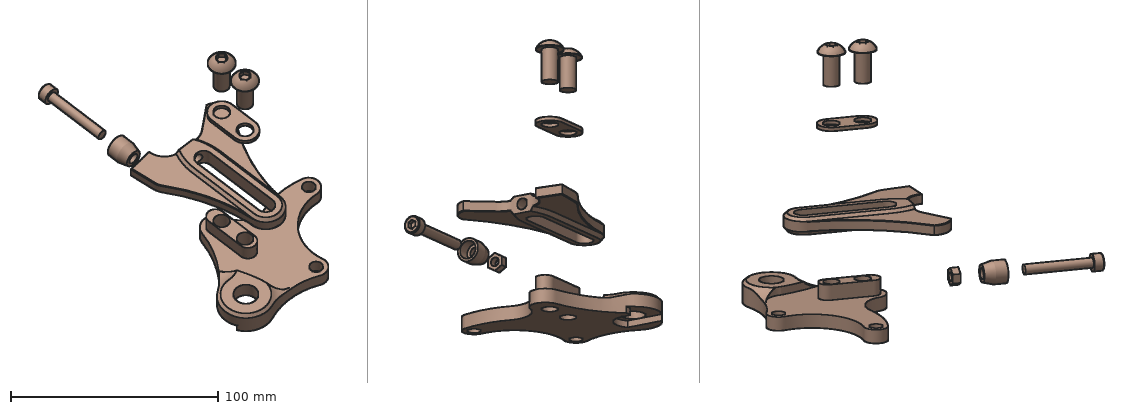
import cadquery as cq
import math

SCREW_PITCH = 16.0
SCREW_XS = (0, SCREW_PITCH)
CLAMP_SHANK_D = 8.0

BASE_T = 7.0
POST_TOP = 14.9
POST_LEFT_X = -4.2
POST_RIGHT_X = 17.8
POST_R = 4.5
BOSS = (39.0, -22.4)
BOSS_R = 14.0
BORE_D = 12.0
END_ROUND = (-4.0, 0)
END_ROUND_R = 7.7
UPPER_TAB = (9.5, 49.9)
SIDE_TAB = (48.0, 16.5)
TAB_R = 6.0
TAB_HOLE_D = 6.6
FLANK = (49.2, 39.4)
LOWER_EDGE_R = 56.0
RIGHT_EDGE_R = 38.5
DISC_EDGE_R = 25.5
HOOK_R = 14.0

PAD_TOP = 11.2
PAD_R = 12.2
PAD_RISE = PAD_TOP - BASE_T
PAD_EDGE_ANGLE = math.pi / 4
PAD_FILLET = PAD_RISE / (1 - math.cos(PAD_EDGE_ANGLE))
PAD_RUN = PAD_FILLET * math.sin(PAD_EDGE_ANGLE)
PAD_STRAIGHT = 1.2
PAD_HOLLOW_R = 13.5
CLEARANCE_START = (15.8, -19.2)
CLEARANCE_MIDDLE = (28.0, -13.6)
CLEARANCE_END = (39.5, -10.3)
NOSE_CLEARANCE_X = 37.8
NOSE_CLEARANCE_R = 10.7

RECESS_DEPTH = 3.3
RECESS_R = 9.6
RECESS_RIGHT_X = 45.3
SHELF_Y = -27.5
SHELF_CORNER_R = 1.0

DROPOUT_Z = 44.5
DROPOUT_T = 5.2
DROPOUT_CHAMFER = 0.4
RAIL_Z = 42.4
RAIL_T = 9.0
RAIL_BEVEL_W = 1.8
NOSE = (30.1, 0)
NOSE_R = 9.6
SIDE_ARC_R = 96.2
SIDE_ARC_ANGLE = math.radians(5)
SIDE_ARC_END_X = -14.5
LOWER_ARM_TIP = (-33.0, -28.9)
LOWER_ARM_HEEL = (-19.0, -27.3)
UPPER_ARM_SHOULDER = (-25.2, 34.1)
UPPER_ARM_TIP = (-33.6, 31.0)
UPPER_ARM_CORNER = (-36.4, 25.9)
NOTCH_MOUTH = (-26.6, 13.0)
NOTCH_SIDE_TOP_Y = 4.5
AXLE_X = -34.8
AXLE_Y = -4.2
AXLE_R = 10.5
RAIL_TAPER_X = -10.7
RAIL_TAPER_R = 33.2
RAIL_TAPER_END_X = -28.0
SLOT_LEFT_X = -12.2
SLOT_R = 4.5
ADJUSTER_HOLE_D = 5.6

WASHER_Z = 93.1
WASHER_T = 2.0
WASHER_R = 7.0
WASHER_HOLE_D = 8.2

CLAMP_HEAD_Z = 130.9
CLAMP_TOP_Z = 135.0
CLAMP_HEAD_D = 13.6
CLAMP_RIM_H = 0.4
CLAMP_CROWN_D = 5.6
CLAMP_SHANK_L = 16.3
CLAMP_HEX_FLATS = 5.0
CLAMP_HEX_DEPTH = 2.5
CLAMP_TURNS = (12, 0)

ADJUSTER_Z = 11.4
ADJUSTER_X = -121.1
ADJUSTER_HEAD_D = 8.8
ADJUSTER_HEAD_L = 5.0
ADJUSTER_HEAD_CHAMFER = 0.5
ADJUSTER_D = 5.0
ADJUSTER_SHANK_L = 34.8
ADJUSTER_TIP_L = 1.2
ADJUSTER_TIP_CHAMFER = 0.4
ADJUSTER_HEX_FLATS = 4.0
ADJUSTER_HEX_DEPTH = 2.5
CAP_X = -72.0
CAP_D = 11.7
CAP_STRAIGHT_L = 6.3
CAP_L = 11.7
CAP_TIP_D = 9.0
CAP_BORE_D = 9.0
CAP_HOLE_D = 5.5
NUT_X = -48.3
NUT_T = 4.0
NUT_FLATS = 7.9
NUT_HOLE_D = 4.4


def toward(start, target, distance):
    """Point at the given distance from start in the direction of target."""
    span = math.dist(start, target)
    return tuple(s + (t - s) * distance / span for s, t in zip(start, target))


def touching_centre(first, first_gap, second, second_gap):
    """Point at the given gaps from two points, on the right when looking from first to second."""
    span = math.dist(first, second)
    along = (span**2 + first_gap**2 - second_gap**2) / (2 * span)
    aside = math.sqrt(first_gap**2 - along**2)
    ux, uy = (second[0] - first[0]) / span, (second[1] - first[1]) / span
    return (first[0] + along * ux + aside * uy, first[1] + along * uy - aside * ux)


def bulge_point(centre, start, end):
    """Middle of the shorter arc about centre from start to end."""
    chord_middle = ((start[0] + end[0]) / 2, (start[1] + end[1]) / 2)
    return toward(centre, chord_middle, math.dist(centre, start))


def base_outline():
    """Closed chain of tangent arcs, counterclockwise from the left end round."""
    lower = touching_centre(END_ROUND, END_ROUND_R + LOWER_EDGE_R, BOSS, BOSS_R + LOWER_EDGE_R)
    right = touching_centre(BOSS, BOSS_R + RIGHT_EDGE_R, SIDE_TAB, TAB_R + RIGHT_EDGE_R)
    disc = touching_centre(SIDE_TAB, TAB_R + DISC_EDGE_R, UPPER_TAB, TAB_R + DISC_EDGE_R)
    flank_r = math.dist(FLANK, UPPER_TAB) + TAB_R
    hook = touching_centre(FLANK, flank_r + HOOK_R, END_ROUND, END_ROUND_R + HOOK_R)

    start = toward(END_ROUND, lower, END_ROUND_R)
    arcs = [
        (lower, toward(BOSS, lower, BOSS_R)),
        (BOSS, toward(BOSS, right, BOSS_R)),
        (right, toward(SIDE_TAB, right, TAB_R)),
        (SIDE_TAB, toward(SIDE_TAB, disc, TAB_R)),
        (disc, toward(UPPER_TAB, disc, TAB_R)),
        (UPPER_TAB, toward(FLANK, UPPER_TAB, flank_r)),
        (FLANK, toward(FLANK, hook, flank_r)),
        (hook, toward(END_ROUND, hook, END_ROUND_R)),
        (END_ROUND, start),
    ]
    outline = cq.Workplane("XY").moveTo(*start)
    for centre, end in arcs:
        outline = outline.threePointArc(bulge_point(centre, start, end), end)
        start = end
    return outline.close()


def pad_slope(edge, direction):
    """Hollow arc that leaves the pad's top edge at 45 degrees and runs out flush with the plate."""
    half_angle = PAD_EDGE_ANGLE / 2
    middle_run = PAD_RUN - PAD_FILLET * math.sin(half_angle)
    middle_z = BASE_T + PAD_FILLET * (1 - math.cos(half_angle))
    middle = (edge + direction * middle_run, middle_z)
    end = (edge + direction * PAD_RUN, BASE_T)
    return cq.Workplane("XZ").moveTo(edge, PAD_TOP).threePointArc(middle, end)


def base_pad():
    """Raised pad: round about the boss, with a hollow flank on its left, cut back for the slider."""
    boss_x, boss_y = BOSS
    round_part = pad_slope(PAD_R, 1).lineTo(0, BASE_T).lineTo(0, PAD_TOP).close().revolve()
    straight_part = (
        pad_slope(-PAD_R, -1).lineTo(0, BASE_T).lineTo(0, PAD_TOP).close().extrude(-PAD_STRAIGHT)
    )
    hollow = pad_slope(PAD_HOLLOW_R, -1).lineTo(0, BASE_T).lineTo(0, PAD_TOP).close().revolve()
    flank_width = PAD_HOLLOW_R + PAD_R
    flank = (
        cq.Workplane("XY", origin=(-flank_width, 0, BASE_T))
        .rect(flank_width, PAD_HOLLOW_R, centered=False)
        .extrude(PAD_RISE)
        .cut(hollow.translate((-flank_width, 0, 0)))
        .translate((0, PAD_STRAIGHT, 0))
    )
    slider_clearance = (
        cq.Workplane("XY", origin=(0, 0, BASE_T))
        .moveTo(*CLEARANCE_START)
        .threePointArc(CLEARANCE_MIDDLE, CLEARANCE_END)
        .lineTo(NOSE_CLEARANCE_X, 0)
        .lineTo(0, 0)
        .close()
        .extrude(PAD_RISE)
        .union(
            cq.Workplane("XY", origin=(NOSE_CLEARANCE_X, 0, BASE_T))
            .circle(NOSE_CLEARANCE_R)
            .extrude(PAD_RISE)
        )
    )
    pad = round_part.union(straight_part).union(flank).translate((boss_x, boss_y, 0))
    return pad.intersect(base_outline().extrude(PAD_TOP)).cut(slider_clearance)


def boss_recess():
    """Shallow recess round the bore, open toward -Y, with a shelf cut to its left."""
    boss_x, boss_y = BOSS
    outer_x = boss_x - BOSS_R
    outer_y = boss_y - BOSS_R
    left_x = boss_x - RECESS_R
    corner_x = left_x - SHELF_CORNER_R
    corner_y = SHELF_Y + SHELF_CORNER_R
    shelf_end = (corner_x, SHELF_Y)
    corner_end = (left_x, corner_y)
    arc_rise = math.sqrt(RECESS_R**2 - (RECESS_RIGHT_X - boss_x) ** 2)
    arc_start = (left_x, boss_y)
    arc_end = (RECESS_RIGHT_X, boss_y + arc_rise)
    return (
        cq.Workplane("XY")
        .moveTo(outer_x, outer_y)
        .lineTo(outer_x, SHELF_Y)
        .lineTo(*shelf_end)
        .threePointArc(bulge_point((corner_x, corner_y), shelf_end, corner_end), corner_end)
        .lineTo(*arc_start)
        .threePointArc(bulge_point(BOSS, arc_start, arc_end), arc_end)
        .lineTo(RECESS_RIGHT_X, outer_y)
        .close()
        .extrude(RECESS_DEPTH)
    )


def slot_solid(left_x, right_x, radius, bottom_z, height):
    """Solid with a straight-sided, round-ended outline along X."""
    return (
        cq.Workplane("XY", origin=((left_x + right_x) / 2, 0, bottom_z))
        .slot2D(right_x - left_x + 2 * radius, 2 * radius)
        .extrude(height)
    )


def through_holes(points, diameter):
    """Upright cutters, tall enough to pass through any body standing on the ground plane."""
    return cq.Workplane("XY").pushPoints(points).circle(diameter / 2).extrude(POST_TOP)


def make_base():
    return (
        base_outline()
        .extrude(BASE_T)
        .union(base_pad())
        .union(slot_solid(POST_LEFT_X, POST_RIGHT_X, POST_R, BASE_T, POST_TOP - BASE_T))
        .cut(boss_recess())
        .cut(through_holes([(x, 0) for x in SCREW_XS], CLAMP_SHANK_D))
        .cut(through_holes([UPPER_TAB, SIDE_TAB], TAB_HOLE_D))
        .cut(through_holes([BOSS], BORE_D))
    )


def dropout_outline():
    """Two-armed outline, counterclockwise from the lower end of the axle notch."""
    side_reach = NOSE_R + SIDE_ARC_R
    side_x = NOSE[0] + side_reach * math.sin(SIDE_ARC_ANGLE)
    side_y = side_reach * math.cos(SIDE_ARC_ANGLE)
    upper = (side_x, side_y)
    lower = (side_x, -side_y)
    side_end_y = side_y - math.sqrt(SIDE_ARC_R**2 - (side_x - SIDE_ARC_END_X) ** 2)
    upper_end = (SIDE_ARC_END_X, side_end_y)
    lower_end = (SIDE_ARC_END_X, -side_end_y)
    upper_nose = toward(NOSE, upper, NOSE_R)
    lower_nose = toward(NOSE, lower, NOSE_R)
    nose_tip = (NOSE[0] + NOSE_R, 0)
    notch_x = AXLE_X + AXLE_R
    notch_low = (AXLE_X, AXLE_Y - AXLE_R)
    notch_side = (notch_x, AXLE_Y)
    return (
        cq.Workplane("XY")
        .moveTo(*notch_low)
        .lineTo(*LOWER_ARM_TIP)
        .lineTo(*LOWER_ARM_HEEL)
        .tangentArcPoint(lower_end, relative=False)
        .threePointArc(bulge_point(lower, lower_end, lower_nose), lower_nose)
        .threePointArc(nose_tip, upper_nose)
        .threePointArc(bulge_point(upper, upper_nose, upper_end), upper_end)
        .lineTo(*UPPER_ARM_SHOULDER)
        .threePointArc(UPPER_ARM_TIP, UPPER_ARM_CORNER)
        .lineTo(*NOTCH_MOUTH)
        .tangentArcPoint((notch_x, NOTCH_SIDE_TOP_Y), relative=False)
        .lineTo(*notch_side)
        .threePointArc(bulge_point((AXLE_X, AXLE_Y), notch_side, notch_low), notch_low)
        .close()
    )


def rail_outline():
    """Round-nosed outline, narrowing toward the axle end and overrunning it."""
    nose_x = NOSE[0]

    def taper_y(x):
        run = RAIL_TAPER_X - x
        return NOSE_R - RAIL_TAPER_R + math.sqrt(RAIL_TAPER_R**2 - run**2)

    middle_x = (RAIL_TAPER_X + RAIL_TAPER_END_X) / 2
    middle_y = taper_y(middle_x)
    end_y = taper_y(RAIL_TAPER_END_X)
    return (
        cq.Workplane("XY")
        .moveTo(RAIL_TAPER_END_X, -end_y)
        .threePointArc((middle_x, -middle_y), (RAIL_TAPER_X, -NOSE_R))
        .lineTo(nose_x, -NOSE_R)
        .threePointArc((nose_x + NOSE_R, 0), (nose_x, NOSE_R))
        .lineTo(RAIL_TAPER_X, NOSE_R)
        .threePointArc((middle_x, middle_y), (RAIL_TAPER_END_X, end_y))
        .close()
    )


def rail_bevel(height):
    """Layer of the rail that narrows by the bevel width over the given signed height."""
    taper = math.degrees(math.atan2(RAIL_BEVEL_W, abs(height)))
    return rail_outline().extrude(height, taper=taper)


def make_dropout():
    plate_top = DROPOUT_Z + DROPOUT_T
    upper_bevel = rail_bevel(RAIL_Z + RAIL_T - plate_top).translate((0, 0, plate_top))
    lower_bevel = rail_bevel(RAIL_Z - DROPOUT_Z).translate((0, 0, DROPOUT_Z))
    rail_core = rail_outline().extrude(DROPOUT_T).translate((0, 0, DROPOUT_Z))
    rail_trim = dropout_outline().extrude(RAIL_T).translate((0, 0, RAIL_Z))
    rail = rail_core.union(upper_bevel).union(lower_bevel).intersect(rail_trim)
    plate = (
        dropout_outline()
        .extrude(DROPOUT_T)
        .faces("|Z")
        .edges()
        .chamfer(DROPOUT_CHAMFER)
        .translate((0, 0, DROPOUT_Z))
    )
    adjuster_hole = (
        cq.Workplane("YZ", origin=(AXLE_X, 0, RAIL_Z + RAIL_T / 2))
        .circle(ADJUSTER_HOLE_D / 2)
        .extrude(SLOT_LEFT_X - AXLE_X)
    )
    return (
        plate.union(rail)
        .cut(slot_solid(SLOT_LEFT_X, NOSE[0], SLOT_R, RAIL_Z, RAIL_T))
        .cut(adjuster_hole)
    )


def make_washer():
    holes = through_holes([(x, 0) for x in SCREW_XS], WASHER_HOLE_D).translate((0, 0, WASHER_Z))
    return slot_solid(0, SCREW_PITCH, WASHER_R, WASHER_Z, WASHER_T).cut(holes)


def hex_corners(flats):
    """Diameter across the corners of a hexagon with the given width across flats."""
    return flats / math.cos(math.pi / 6)


def make_clamp_screw(x, turn):
    """Upright button-head screw; turn is the angle of its hex socket in degrees."""
    head_r = CLAMP_HEAD_D / 2
    shank_r = CLAMP_SHANK_D / 2
    crown_r = CLAMP_CROWN_D / 2
    tip_z = CLAMP_HEAD_Z - CLAMP_SHANK_L
    rim = (head_r, CLAMP_HEAD_Z + CLAMP_RIM_H)
    crown = (crown_r, CLAMP_TOP_Z)
    dome_h = crown[1] - rim[1]
    dome_centre = (0, rim[1] + (crown_r**2 + dome_h**2 - head_r**2) / (2 * dome_h))
    body = (
        cq.Workplane("YZ")
        .moveTo(0, tip_z)
        .lineTo(shank_r, tip_z)
        .lineTo(shank_r, CLAMP_HEAD_Z)
        .lineTo(head_r, CLAMP_HEAD_Z)
        .lineTo(*rim)
        .threePointArc(bulge_point(dome_centre, rim, crown), crown)
        .lineTo(0, CLAMP_TOP_Z)
        .close()
        .revolve()
    )
    socket = (
        cq.Workplane("XY", origin=(0, 0, CLAMP_TOP_Z - CLAMP_HEX_DEPTH))
        .transformed(rotate=(0, 0, 90))
        .polygon(6, hex_corners(CLAMP_HEX_FLATS))
        .extrude(CLAMP_HEX_DEPTH)
    )
    return body.cut(socket).rotate((0, 0, 0), (0, 0, 1), turn).translate((x, 0, 0))


def rod(x, diameter, length):
    """Round bar on the adjuster axis, starting at x."""
    return cq.Workplane("YZ", origin=(x, 0, ADJUSTER_Z)).circle(diameter / 2).extrude(length)


def hex_bar(x, flats, length):
    """Hexagonal bar on the adjuster axis, starting at x, with corners at its top and bottom."""
    return (
        cq.Workplane("YZ", origin=(x, 0, ADJUSTER_Z))
        .transformed(rotate=(0, 0, 90))
        .polygon(6, hex_corners(flats))
        .extrude(length)
    )


def make_adjuster_screw():
    head = rod(ADJUSTER_X, ADJUSTER_HEAD_D, ADJUSTER_HEAD_L).faces("<X").chamfer(ADJUSTER_HEAD_CHAMFER)
    shank = (
        rod(ADJUSTER_X + ADJUSTER_HEAD_L, ADJUSTER_D, ADJUSTER_SHANK_L)
        .faces(">X")
        .edges()
        .chamfer(ADJUSTER_TIP_CHAMFER, ADJUSTER_TIP_L)
    )
    return head.union(shank).cut(hex_bar(ADJUSTER_X, ADJUSTER_HEX_FLATS, ADJUSTER_HEX_DEPTH))


def make_cap():
    """Hollow cap: straight then tapered, counterbored from the straight end for the screw head."""
    cone_x = CAP_X + CAP_STRAIGHT_L
    cone = (
        cq.Workplane("YZ", origin=(cone_x, 0, ADJUSTER_Z))
        .circle(CAP_D / 2)
        .workplane(offset=CAP_L - CAP_STRAIGHT_L)
        .circle(CAP_TIP_D / 2)
        .loft()
    )
    return (
        rod(CAP_X, CAP_D, CAP_STRAIGHT_L)
        .union(cone)
        .cut(rod(CAP_X, CAP_BORE_D, CAP_STRAIGHT_L))
        .cut(rod(CAP_X, CAP_HOLE_D, CAP_L))
    )


def make_nut():
    return hex_bar(NUT_X, NUT_FLATS, NUT_T).cut(rod(NUT_X, NUT_HOLE_D, NUT_T))


base = make_base()
dropout = make_dropout()
washer = make_washer()
clamp_screws = [make_clamp_screw(x, turn) for x, turn in zip(SCREW_XS, CLAMP_TURNS)]
adjuster_screw = make_adjuster_screw()
cap = make_cap()
nut = make_nut()

result = cq.Compound.makeCompound(
    [
        base.val(),
        dropout.val(),
        washer.val(),
        *[screw.val() for screw in clamp_screws],
        adjuster_screw.val(),
        cap.val(),
        nut.val(),
    ]
)